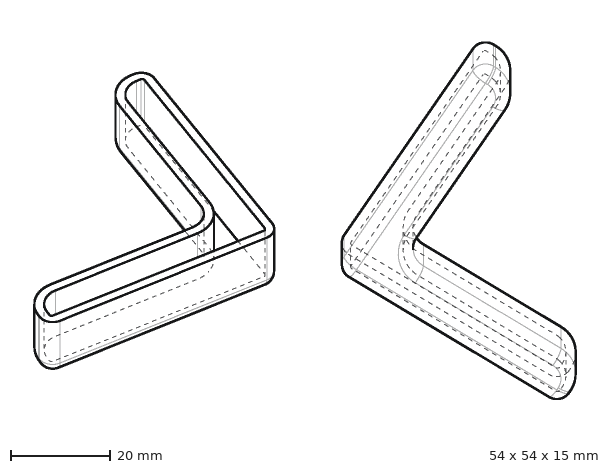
import cadquery as cq

leg_length = 54.0
leg_width = 10.0
height = 15.0

wall = 2.0
floor = 2.0

outer_corner_radius = 3.0
leg_end_radius = 6.5
inside_bend_radius = 4.5

cavity_corner_radius = 0.5

bottom_edge_radius = outer_corner_radius

top_z = height / 2
bottom_z = -top_z


def round_upright_edges(body, points, z, radius):
    """Fillet the upright edge of body that passes through each (x, y) at the given z."""
    for x, y in points:
        body = body.edges(cq.selectors.NearestToPointSelector((x, y, z))).fillet(radius)
    return body


def l_prism(inset, base_z, corner_radius):
    """L-shaped prism from base_z to the top, its walls moved inward from the outer ones by inset.

    The L bends at its +X, +Y corner, and its bounding square is centred on the Z axis.
    """
    far = leg_length / 2 - inset
    near = leg_length / 2 - leg_width + inset

    bend = (near, near)
    leg_ends = [(near, -far), (-far, near)]
    outer_corners = [(-far, far), (far, far), (far, -far)]
    outline = [*outer_corners, leg_ends[0], bend, leg_ends[1]]

    prism = cq.Workplane("XY").workplane(offset=base_z).polyline(outline).close().extrude(top_z - base_z)

    middle_z = (base_z + top_z) / 2
    prism = round_upright_edges(prism, outer_corners, middle_z, corner_radius)
    prism = round_upright_edges(prism, leg_ends, middle_z, leg_end_radius - inset)
    return round_upright_edges(prism, [bend], middle_z, inside_bend_radius + inset)


def tray_body():
    """Solid tray with its whole bottom rim rounded."""
    body = l_prism(0, bottom_z, outer_corner_radius)
    return body.faces("<Z").edges().fillet(bottom_edge_radius)


def cavity():
    """Pocket that opens at the top and leaves the walls and the floor."""
    return l_prism(wall, bottom_z + floor, cavity_corner_radius)


result = tray_body().cut(cavity())